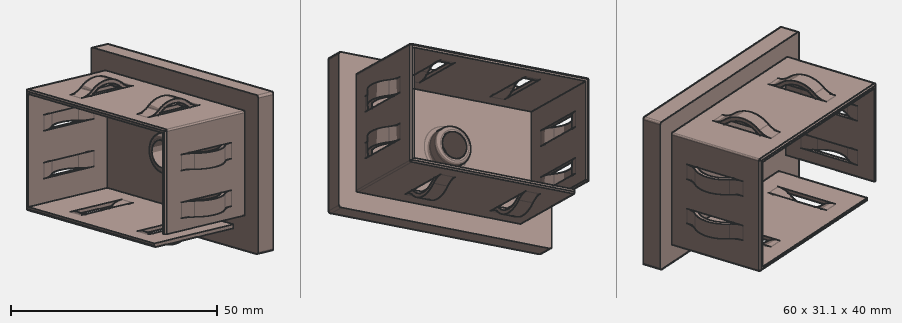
import cadquery as cq
import math

plate_width = 60.0
plate_height = 40.0
plate_thickness = 5.05
plate_corner_radius = 0.6

frame_width = 50.4
frame_height = 30.4
frame_depth = 26.0
wall = 1.0
frame_edge = 0.4
corner_gap = 4.1

spring_width = 4.0
spring_rise = 3.05
spring_crown_half_length = 5.05
long_wall_foot_length = 3.4
short_wall_foot_length = 3.2
long_wall_spring_pitch = 24.0
short_wall_spring_pitch = 12.0
long_wall_spring_y = -frame_depth / 2
short_wall_spring_y = -12.65

hole_diameter = 6.85
boss_diameter = 10.0
boss_height = 4.3
boss_blend = 1.0


def make_plate():
    plate = cq.Workplane("XY").box(plate_width, plate_thickness, plate_height, centered=(True, False, True))
    return plate.edges("|Y").fillet(plate_corner_radius)


def make_frame():
    outer = cq.Workplane("XZ").rect(frame_width, frame_height).extrude(frame_depth)
    outer = outer.edges("|Y").fillet(frame_edge)
    outer = outer.faces("<Y").chamfer(frame_edge)
    inside = cq.Workplane("XZ").rect(frame_width - 2 * wall, frame_height - 2 * wall).extrude(frame_depth)
    gap = (
        cq.Workplane("XZ")
        .center(frame_width / 2, -frame_height / 2)
        .rect(2 * corner_gap, 2 * corner_gap)
        .extrude(frame_depth)
    )
    return outer.cut(inside).cut(gap)


def make_boss():
    radius = boss_diameter / 2
    diagonal = boss_blend * math.sqrt(0.5)
    section = (
        cq.Workplane("XY")
        .lineTo(radius + boss_blend, 0)
        .threePointArc(
            (radius + boss_blend - diagonal, diagonal - boss_blend),
            (radius, -boss_blend),
        )
        .lineTo(radius, boss_blend - boss_height)
        .threePointArc(
            (radius - boss_blend + diagonal, boss_blend - boss_height - diagonal),
            (radius - boss_blend, -boss_height),
        )
        .lineTo(0, -boss_height)
        .close()
    )
    return section.revolve(360, (0, 0, 0), (0, 1, 0))


def make_hole():
    bore_length = plate_thickness + boss_height
    return cq.Workplane("XZ", origin=(0, plate_thickness, 0)).circle(hole_diameter / 2).extrude(bore_length)


def make_spring(foot_length):
    """Tongue on a wall whose outer face is Z = 0, bowed toward +Z and centred on the origin.

    Each half is two tangent arcs, foot and crown, turning through the same angle.
    """
    half_length = spring_crown_half_length + foot_length
    turn = 2 * math.atan(spring_rise / half_length)
    foot_radius = foot_length / math.sin(turn)

    def foot_point(side, angle, offset):
        radius = foot_radius + offset
        return side * (half_length - radius * math.sin(angle)), foot_radius - radius * math.cos(angle)

    profile = (
        cq.Workplane("YZ")
        .moveTo(*foot_point(-1, 0, 0))
        .threePointArc(foot_point(-1, turn / 2, 0), foot_point(-1, turn, 0))
        .threePointArc((0, spring_rise), foot_point(1, turn, 0))
        .threePointArc(foot_point(1, turn / 2, 0), foot_point(1, 0, 0))
        .lineTo(*foot_point(1, 0, wall))
        .threePointArc(foot_point(1, turn / 2, wall), foot_point(1, turn, wall))
        .threePointArc((0, spring_rise - wall), foot_point(-1, turn, wall))
        .threePointArc(foot_point(-1, turn / 2, wall), foot_point(-1, 0, wall))
        .close()
    )
    return profile.extrude(spring_width / 2, both=True)


def make_slot(foot_length):
    slot_length = 2 * (spring_crown_half_length + foot_length)
    return cq.Workplane("XY").box(spring_width, slot_length, wall).translate((0, 0, -wall / 2))


def place_on_wall(body, along_wall, along_depth, wall_distance, wall_angle):
    moved = body.translate((along_wall, along_depth, wall_distance))
    return moved.rotate((0, 0, 0), (0, 1, 0), wall_angle)


def add_springs(frame, wall_angles, wall_distance, pitch, centre_y, foot_length):
    slot = make_slot(foot_length)
    spring = make_spring(foot_length)
    for angle in wall_angles:
        for along_wall in (-pitch / 2, pitch / 2):
            frame = frame.cut(place_on_wall(slot, along_wall, centre_y, wall_distance, angle))
            frame = frame.union(place_on_wall(spring, along_wall, centre_y, wall_distance, angle))
    return frame


frame = make_frame()
frame = add_springs(
    frame, (0, 180), frame_height / 2, long_wall_spring_pitch, long_wall_spring_y, long_wall_foot_length
)
frame = add_springs(
    frame, (90, 270), frame_width / 2, short_wall_spring_pitch, short_wall_spring_y, short_wall_foot_length
)

result = make_plate().union(frame).union(make_boss()).cut(make_hole())